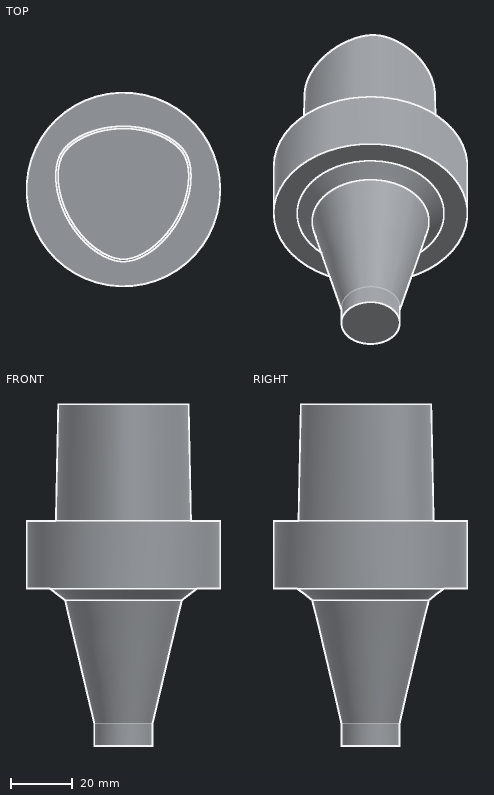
import cadquery as cq
import math

tip_top = 7.3
cone_top = 47.3
flange_bottom = 51.1
flange_top = 73.0
total_height = 111.0

tip_diameter = 19.0
cone_top_diameter = 38.0
collar_diameter = 47.7
flange_diameter = 62.9

shank_base_width = 44.0
shank_top_width = 42.4
lobe_eccentricity = 1.4
spline_points = 72


def round_body():
    """Tip, cone, collar and flange turned about Z."""
    return (
        cq.Workplane("XZ")
        .lineTo(tip_diameter / 2, 0)
        .lineTo(tip_diameter / 2, tip_top)
        .lineTo(cone_top_diameter / 2, cone_top)
        .lineTo(collar_diameter / 2, flange_bottom)
        .lineTo(flange_diameter / 2, flange_bottom)
        .lineTo(flange_diameter / 2, flange_top)
        .lineTo(0, flange_top)
        .close()
        .revolve(360, (0, 0, 0), (0, 1, 0))
    )


def lobed_wire(width, height):
    """Closed three-lobed curve with one lobe pointing to -Y."""

    def point(angle):
        along = width / 2 * math.cos(angle)
        along += lobe_eccentricity * (2 * math.cos(2 * angle) - math.cos(4 * angle))
        across = width / 2 * math.sin(angle)
        across -= lobe_eccentricity * (2 * math.sin(2 * angle) + math.sin(4 * angle))
        return cq.Vector(across, -along, height)

    points = [point(2 * math.pi * i / spline_points) for i in range(spline_points)]
    return cq.Wire.assembleEdges([cq.Edge.makeSpline(points, periodic=True)])


def lobed_shank():
    """Shank tapering from the flange to the top face."""
    base = lobed_wire(shank_base_width, flange_top)
    top = lobed_wire(shank_top_width, total_height)
    return cq.Workplane(cq.Solid.makeLoft([base, top], True))


result = round_body().union(lobed_shank())